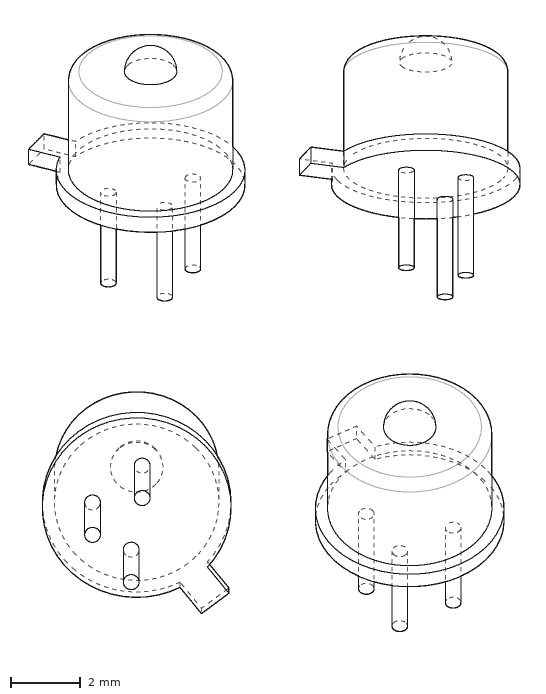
import cadquery as cq

flange_diameter = 5.4
flange_thickness = 0.5
tab_width = 1.0
tab_reach = 3.65

cap_diameter = 4.7
cap_top = 3.75
cap_edge_radius = 0.3

lead_diameter = 0.45
lead_length = 3.0
lead_offset = 0.9
lead_places = [
    (-lead_offset, -lead_offset),
    (lead_offset, -lead_offset),
    (lead_offset, lead_offset),
]

lens_radius = 0.75


def make_flange():
    disc = cq.Workplane("XY").circle(flange_diameter / 2).extrude(flange_thickness)
    tab = (
        cq.Workplane("XY")
        .center(-tab_reach / 2, 0)
        .rect(tab_reach, tab_width)
        .extrude(flange_thickness)
    )
    return disc.union(tab)


def make_cap():
    cap = cq.Workplane("XY").circle(cap_diameter / 2).extrude(cap_top)
    return cap.faces(">Z").edges().fillet(cap_edge_radius)


def make_leads():
    return (
        cq.Workplane("XY")
        .pushPoints(lead_places)
        .circle(lead_diameter / 2)
        .extrude(-lead_length)
    )


def make_housing():
    """Flange, cap and leads as one solid."""
    return make_flange().union(make_cap()).union(make_leads())


def make_lens():
    """Hemisphere resting on the flat top of the cap."""
    return (
        cq.Workplane("XZ", origin=(0, 0, cap_top))
        .lineTo(lens_radius, 0)
        .radiusArc((0, lens_radius), -lens_radius)
        .close()
        .revolve(360, (0, 0), (0, 1))
    )


housing = make_housing()
lens = make_lens()

result = cq.Compound.makeCompound([housing.solids().val(), lens.solids().val()])